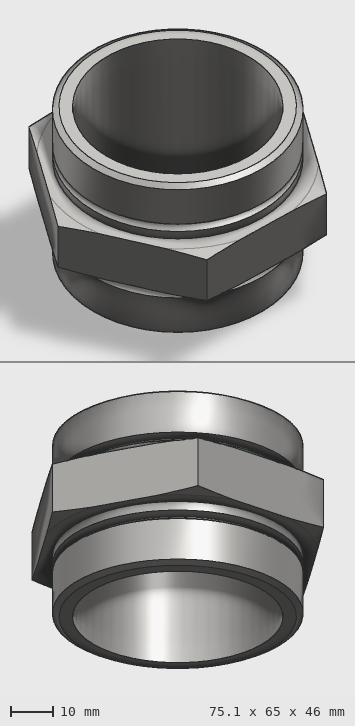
import cadquery as cq
import math

height = 46.0
body_radius = 29.8
bore_radius = 25.0

end_bevel_depth = 1.6
end_bevel_height = 0.9

groove_center_z = 10.3
groove_width = 2.25
groove_floor_width = 0.4
groove_depth = 1.65

hex_corner_width = 75.05
hex_height = 13.8
hex_bevel_radius = 33.55
hex_bevel_drop = 0.6

hex_corner_radius = hex_corner_width / 2


def make_tube():
    """Solid of revolution, beveled at both ends; the bore is cut later."""
    half = height / 2
    end_radius = body_radius - end_bevel_depth
    bevel_z = half - end_bevel_height
    profile = [
        (0, -half),
        (end_radius, -half),
        (body_radius, -bevel_z),
        (body_radius, bevel_z),
        (end_radius, half),
        (0, half),
    ]
    return cq.Workplane("XZ").polyline(profile).close().revolve(360, (0, 0), (0, 1))


def make_groove(center_z):
    """Ring to remove for one groove."""
    floor_radius = body_radius - groove_depth
    profile = [
        (body_radius, center_z - groove_width / 2),
        (floor_radius, center_z - groove_floor_width / 2),
        (floor_radius, center_z + groove_floor_width / 2),
        (body_radius, center_z + groove_width / 2),
    ]
    return cq.Workplane("XZ").polyline(profile).close().revolve(360, (0, 0), (0, 1))


def make_hexagon():
    """Hexagonal prism trimmed by a double cone that bevels its corners."""
    half = hex_height / 2
    corners = [
        (
            hex_corner_radius * math.cos(math.radians(angle)),
            hex_corner_radius * math.sin(math.radians(angle)),
        )
        for angle in range(0, 360, 60)
    ]
    prism = cq.Workplane("XY").workplane(offset=-half).polyline(corners).close().extrude(hex_height)

    bevel_slope = hex_bevel_drop / (hex_corner_radius - hex_bevel_radius)
    cone_rim_radius = hex_bevel_radius + half / bevel_slope
    profile = [
        (0, -half),
        (hex_bevel_radius, -half),
        (cone_rim_radius, 0),
        (hex_bevel_radius, half),
        (0, half),
    ]
    cones = cq.Workplane("XZ").polyline(profile).close().revolve(360, (0, 0), (0, 1))
    return prism.intersect(cones)


def make_bore():
    return cq.Workplane("XY").workplane(offset=-height / 2).circle(bore_radius).extrude(height)


body = make_tube()
for side in (-1, 1):
    body = body.cut(make_groove(side * groove_center_z))

result = body.union(make_hexagon()).cut(make_bore())